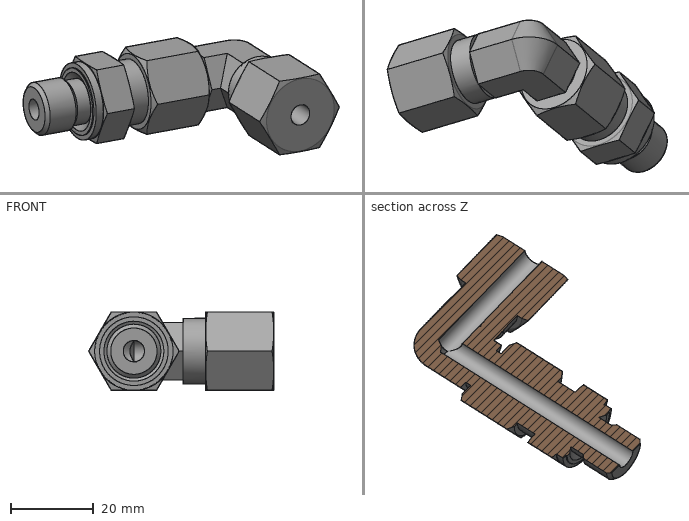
import cadquery as cq
import math


overall_length = 66

nut_flats = 19.0
elbow_flats = 14.0

shoulder_diameter = 16.0
neck_diameter = 12.15
lip_diameter = 16.65
undercut_diameter = 11.2
thread_diameter = 13.1
bore_diameter = 5.15
recess_diameter = 14.5

x_elbow_end = 11.95
x_nut_start = 17.35
x_nut_end = 33.95

y_elbow_end = 10.4
y_swivel_start = 11.8
y_swivel_end = 27.85
y_stud_hex_start = 33.1
y_stud_hex_end = 41.0
y_collar_end = 43.05
y_lip_end = 43.4
y_undercut_end = 46.1
y_stud_end = overall_length - nut_flats / math.sqrt(3)

thread_chamfer = (thread_diameter - undercut_diameter) / 2
recess_depth = 1.0
end_nut_bevel_angle = 15
swivel_bevel_angle = 30
stud_bevel_angle = 8
bevel_face_ratio = 0.98

drill_point_angle = 118

x_arm = cq.Plane(origin=(0, 0, 0), xDir=(0, 1, 0), normal=(1, 0, 0))
y_arm = cq.Plane(origin=(0, 0, 0), xDir=(1, 0, 0), normal=(0, -1, 0))


def corner_diameter(flats):
    """Diameter across the corners of a hexagon."""
    return 2 * flats / math.sqrt(3)


def cylinder(arm, start, end, diameter):
    """Round length of an arm between two distances from the bend centre."""
    return cq.Workplane(arm).workplane(offset=start).circle(diameter / 2).extrude(end - start)


def hexagon(arm, start, end, flats):
    """Hexagonal length of an arm, with flats facing up and down."""
    outline = cq.Workplane(arm).workplane(offset=start).polygon(6, corner_diameter(flats))
    return outline.extrude(end - start)


def revolved(arm, profile):
    """Solid of revolution about an arm from (radius, distance) points."""
    half_section = cq.Workplane(cq.Plane(arm.origin, xDir=arm.xDir, normal=-arm.yDir))
    return half_section.polyline(profile).close().revolve(360, (0, 0), (0, 1))


def bevelled_hexagon(arm, start, end, bevel_angle):
    """Hexagon whose corners are turned off conically at both ends."""
    face_radius = bevel_face_ratio * nut_flats / 2
    corner_radius = corner_diameter(nut_flats) / 2
    bevel = (corner_radius - face_radius) * math.tan(math.radians(bevel_angle))
    envelope = revolved(arm, [
        (0, start),
        (face_radius, start),
        (corner_radius, start + bevel),
        (corner_radius, end - bevel),
        (face_radius, end),
        (0, end),
    ])
    return hexagon(arm, start, end, nut_flats).intersect(envelope)


def elbow():
    """Two hexagonal arms joined by a half hexagon swept round the bend."""
    corner = corner_diameter(elbow_flats) / 2
    half_hexagon = [
        (0, -elbow_flats / 2),
        (-corner / 2, -elbow_flats / 2),
        (-corner, 0),
        (-corner / 2, elbow_flats / 2),
        (0, elbow_flats / 2),
    ]
    bend = cq.Workplane("XZ").polyline(half_hexagon).close().revolve(360, (0, 0), (0, 1))
    arms = hexagon(x_arm, 0, x_elbow_end, elbow_flats).union(hexagon(y_arm, 0, y_elbow_end, elbow_flats))
    return arms.union(bend)


def nut_arm():
    """Round shoulder and tube nut on the +X arm."""
    shoulder = cylinder(x_arm, x_elbow_end, x_nut_start, shoulder_diameter)
    return shoulder.union(bevelled_hexagon(x_arm, x_nut_start, x_nut_end, end_nut_bevel_angle))


def stud_arm():
    """Swivel nut, stud hexagon and sealing collar on the -Y arm."""
    arm = cylinder(y_arm, y_elbow_end, y_swivel_start, neck_diameter)
    arm = arm.union(bevelled_hexagon(y_arm, y_swivel_start, y_swivel_end, swivel_bevel_angle))
    arm = arm.union(cylinder(y_arm, y_swivel_end, y_stud_hex_start, shoulder_diameter))
    arm = arm.union(bevelled_hexagon(y_arm, y_stud_hex_start, y_stud_hex_end, stud_bevel_angle))
    arm = arm.union(cylinder(y_arm, y_stud_hex_end, y_collar_end, nut_flats))
    return arm.union(cylinder(y_arm, y_collar_end, y_lip_end, lip_diameter))


def collar_recess():
    """Conical recess in the sealing face, tapering in towards the undercut."""
    return revolved(y_arm, [
        (0, y_lip_end - recess_depth),
        (undercut_diameter / 2, y_lip_end - recess_depth),
        (recess_diameter / 2, y_lip_end),
        (0, y_lip_end),
    ])


def threaded_stud():
    """Undercut and thread cylinder, chamfered at both ends of the thread."""
    root = undercut_diameter / 2
    crest = thread_diameter / 2
    return revolved(y_arm, [
        (0, y_stud_hex_start),
        (root, y_stud_hex_start),
        (root, y_undercut_end),
        (crest, y_undercut_end + thread_chamfer),
        (crest, y_stud_end - thread_chamfer),
        (root, y_stud_end),
        (0, y_stud_end),
    ])


def drilled_hole(arm, mouth):
    """Hole drilled down an arm to the bend centre, with the drill point beyond it."""
    radius = bore_diameter / 2
    point_length = radius / math.tan(math.radians(drill_point_angle / 2))
    return revolved(arm, [
        (0, -point_length),
        (radius, 0),
        (radius, mouth),
        (0, mouth),
    ])


body = elbow().union(nut_arm()).union(stud_arm())
body = body.cut(collar_recess()).union(threaded_stud())
result = body.cut(drilled_hole(x_arm, x_nut_end)).cut(drilled_hole(y_arm, y_stud_end))